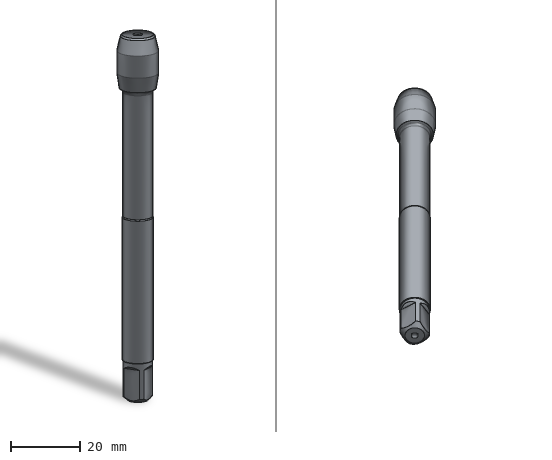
import cadquery as cq
import math

total_length = 110.0

drive_diameter = 8.64
drive_across_flats = 7.0
drive_flat_top = 10.0
drive_end_chamfer = 1.5
drive_end_chamfer_height = 1.3

shank_diameter = 9.0
shank_bottom = 12.0
shank_top = 55.0
shank_taper_height = 0.4

neck_diameter = 8.7
neck_fillet_radius = 1.2
neck_fillet_height = 0.9

head_diameter = 12.17
head_bottom = total_length - 16.4
head_bottom_chamfer_height = 0.35
head_bottom_diameter = 10.8
head_barrel_bottom = total_length - 11.5
head_barrel_top = total_length - 4.85
head_top_diameter = 10.1
head_top_chamfer = 0.5

bore_diameter = 2.0
bore_chamfer = 0.4


def make_body():
    """Revolve every round section, from the drive end to the head."""
    drive_radius = drive_diameter / 2
    shank_radius = shank_diameter / 2
    neck_radius = neck_diameter / 2
    shank_bevel = shank_radius - drive_radius
    head_radius = head_diameter / 2
    head_top_radius = head_top_diameter / 2
    fillet_start = head_bottom - neck_fillet_height
    fillet_sweep = math.asin(neck_fillet_height / neck_fillet_radius)

    def fillet_point(angle):
        """Point on the neck fillet, at an angle from its tangent point on the neck."""
        radius = neck_radius + neck_fillet_radius * (1 - math.cos(angle))
        return (radius, fillet_start + neck_fillet_radius * math.sin(angle))

    return (
        cq.Workplane("XZ")
        .lineTo(drive_radius - drive_end_chamfer, 0)
        .lineTo(drive_radius, drive_end_chamfer_height)
        .lineTo(drive_radius, shank_bottom)
        .lineTo(shank_radius, shank_bottom + shank_bevel)
        .lineTo(shank_radius, shank_top)
        .lineTo(neck_radius, shank_top + shank_taper_height)
        .lineTo(neck_radius, fillet_start)
        .threePointArc(fillet_point(fillet_sweep / 2), fillet_point(fillet_sweep))
        .lineTo(head_bottom_diameter / 2, head_bottom + head_bottom_chamfer_height)
        .lineTo(head_radius, head_barrel_bottom)
        .lineTo(head_radius, head_barrel_top)
        .lineTo(head_top_radius, total_length - head_top_chamfer)
        .lineTo(head_top_radius - head_top_chamfer, total_length)
        .lineTo(0, total_length)
        .close()
        .revolve(360, (0, 0), (0, 1))
    )


def make_flat_cutter():
    """Cutter for the +X flat, with a 45 degree run-out at its upper end."""
    flat_distance = drive_across_flats / 2
    reach = shank_diameter
    runout = reach - flat_distance
    section = [
        (flat_distance, 0),
        (reach, 0),
        (reach, drive_flat_top + runout),
        (flat_distance, drive_flat_top),
    ]
    return cq.Workplane("XZ").polyline(section).close().extrude(shank_diameter, both=True)


def cut_square_drive(body):
    """Cut four equal flats around the lower end."""
    cutter = make_flat_cutter()
    for quarter in range(4):
        body = body.cut(cutter.rotate((0, 0, 0), (0, 0, 1), 90 * quarter))
    return body


def cut_bore(body):
    """Drill the through bore and chamfer its mouth in the head face."""
    bore_radius = bore_diameter / 2
    section = [
        (0, 0),
        (bore_radius, 0),
        (bore_radius, total_length - bore_chamfer),
        (bore_radius + bore_chamfer, total_length),
        (0, total_length),
    ]
    bore = cq.Workplane("XZ").polyline(section).close().revolve(360, (0, 0), (0, 1))
    return body.cut(bore)


result = cut_bore(cut_square_drive(make_body()))